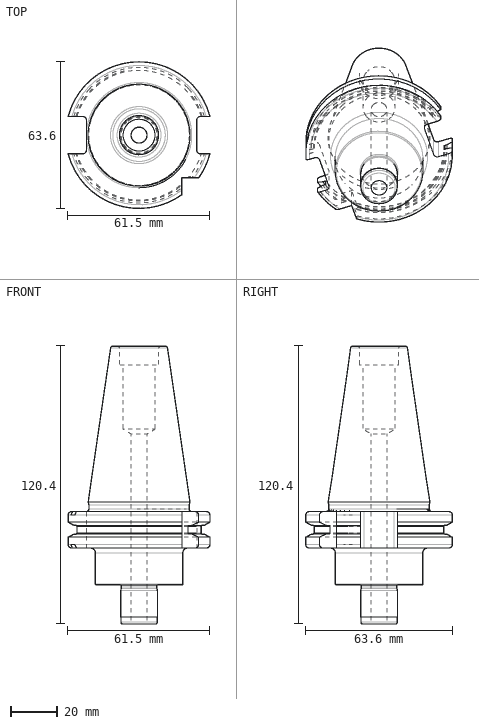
import cadquery as cq
import math


TAPER_LENGTH = 68.4
GAUGE_RADIUS = 44.45 / 2
TAPER_SLOPE = 7 / 48
SHANK_TIP_RADIUS = GAUGE_RADIUS - TAPER_LENGTH * TAPER_SLOPE
SHANK_TIP_ROUND = 1.0
TAPER_END = 0.85
TAPER_END_RADIUS = GAUGE_RADIUS - TAPER_END * TAPER_SLOPE
NECK_RADIUS = 21.8
NECK_TOP = -0.3

FLANGE_RADIUS = 63.55 / 2
FLANGE_TOP = -3.2
FLANGE_BOTTOM = -19.1
FLANGE_ROUND = 1.6
NECK_FILLET = 1.0

GROOVE_CENTRE = -11.1
GROOVE_FLOOR_RADIUS = 56.25 / 2
GROOVE_FLOOR_HALF_WIDTH = 3.75 / 2
GROOVE_FLOOR_FILLET = 0.4
GROOVE_RIM_HALF_WIDTH = 3.25
GROOVE_FLANK_ANGLE = 30

SLOT_WIDTH = 16.1
SLOT_CORNER_RADIUS = 1.6
SLOT_FLOOR_LEFT = 22.8
SLOT_FLOOR_RIGHT = 25.0
NOTCH_OFFSET = 18.5

BODY_RADIUS = 38 / 2
BODY_BOTTOM = -35.0
BODY_FILLET = 2.0
BODY_ROUND = 0.5

PILOT_RADIUS = 16 / 2
PILOT_LENGTH = 17.0
PILOT_BOTTOM = BODY_BOTTOM - PILOT_LENGTH
RELIEF_RADIUS = 15.5 / 2
RELIEF_LENGTH = 2.5
RELIEF_RUNOUT = 1.1
RELIEF_FILLET = 0.5
RELIEF_BLEND = 1.5
LEAD_IN_RADIUS = 15.8 / 2
LEAD_IN_LENGTH = 3.0
PILOT_TIP_ROUND = 0.9

COUNTERBORE_RADIUS = 17 / 2
COUNTERBORE_DEPTH = 8.2
COUNTERBORE_FLOOR_FILLET = 0.4
MOUTH_ROUND = 1.0
TAP_BORE_RADIUS = 13.8 / 2
TAP_BORE_DEPTH = 36.0
DRILL_TIP_ANGLE = 118
SCREW_HOLE_RADIUS = 6.8 / 2

CUT_CLEARANCE = 1.0
MATCH_TOLERANCE = 0.01


class RingSelector(cq.Selector):
    """Picks the circular edges of one radius at one height on the Z axis."""

    def __init__(self, radius, height):
        self.radius = radius
        self.height = height

    def filter(self, edges):
        return [edge for edge in edges if self.matches(edge)]

    def matches(self, edge):
        return (
            edge.geomType() == "CIRCLE"
            and math.isclose(edge.radius(), self.radius, abs_tol=MATCH_TOLERANCE)
            and math.isclose(edge.Center().z, self.height, abs_tol=MATCH_TOLERANCE)
        )


def turned_body():
    """Solid of revolution with the shank, flange blank, body and pilot."""
    relief_end = BODY_BOTTOM - RELIEF_LENGTH
    runout_start = relief_end + RELIEF_RUNOUT
    lead_in_start = PILOT_BOTTOM + LEAD_IN_LENGTH
    profile = (
        cq.Workplane("XZ")
        .moveTo(0, TAPER_LENGTH)
        .lineTo(SHANK_TIP_RADIUS, TAPER_LENGTH)
        .lineTo(TAPER_END_RADIUS, TAPER_END)
        .lineTo(NECK_RADIUS, NECK_TOP)
        .lineTo(NECK_RADIUS, FLANGE_TOP)
        .lineTo(FLANGE_RADIUS, FLANGE_TOP)
        .lineTo(FLANGE_RADIUS, FLANGE_BOTTOM)
        .lineTo(BODY_RADIUS, FLANGE_BOTTOM)
        .lineTo(BODY_RADIUS, BODY_BOTTOM)
        .lineTo(RELIEF_RADIUS, BODY_BOTTOM)
        .lineTo(RELIEF_RADIUS, runout_start)
        .lineTo(PILOT_RADIUS, relief_end)
        .lineTo(PILOT_RADIUS, lead_in_start)
        .lineTo(LEAD_IN_RADIUS, lead_in_start)
        .lineTo(LEAD_IN_RADIUS, PILOT_BOTTOM)
        .lineTo(0, PILOT_BOTTOM)
        .close()
    )
    body = profile.revolve(360, (0, 0, 0), (0, 1, 0))
    body = body.edges(RingSelector(SHANK_TIP_RADIUS, TAPER_LENGTH)).fillet(SHANK_TIP_ROUND)
    body = body.edges(RingSelector(NECK_RADIUS, FLANGE_TOP)).fillet(NECK_FILLET)
    for flange_face in (FLANGE_TOP, FLANGE_BOTTOM):
        body = body.edges(RingSelector(FLANGE_RADIUS, flange_face)).fillet(FLANGE_ROUND)
    body = body.edges(RingSelector(BODY_RADIUS, FLANGE_BOTTOM)).fillet(BODY_FILLET)
    body = body.edges(RingSelector(BODY_RADIUS, BODY_BOTTOM)).fillet(BODY_ROUND)
    body = body.edges(RingSelector(RELIEF_RADIUS, BODY_BOTTOM)).fillet(RELIEF_FILLET)
    body = body.edges(RingSelector(RELIEF_RADIUS, runout_start)).fillet(RELIEF_BLEND)
    return body.edges(RingSelector(LEAD_IN_RADIUS, PILOT_BOTTOM)).fillet(PILOT_TIP_ROUND)


def gripper_groove():
    """Ring cutter for the V groove."""
    flank_height = GROOVE_RIM_HALF_WIDTH - GROOVE_FLOOR_HALF_WIDTH
    step_radius = FLANGE_RADIUS - flank_height / math.tan(math.radians(GROOVE_FLANK_ANGLE))
    floor_top = GROOVE_CENTRE + GROOVE_FLOOR_HALF_WIDTH
    floor_bottom = GROOVE_CENTRE - GROOVE_FLOOR_HALF_WIDTH
    rim_top = GROOVE_CENTRE + GROOVE_RIM_HALF_WIDTH
    rim_bottom = GROOVE_CENTRE - GROOVE_RIM_HALF_WIDTH
    outside = FLANGE_RADIUS + CUT_CLEARANCE
    groove = (
        cq.Workplane("XZ")
        .moveTo(GROOVE_FLOOR_RADIUS, floor_top)
        .lineTo(step_radius, floor_top)
        .lineTo(FLANGE_RADIUS, rim_top)
        .lineTo(outside, rim_top)
        .lineTo(outside, rim_bottom)
        .lineTo(FLANGE_RADIUS, rim_bottom)
        .lineTo(step_radius, floor_bottom)
        .lineTo(GROOVE_FLOOR_RADIUS, floor_bottom)
        .close()
        .revolve(360, (0, 0, 0), (0, 1, 0))
    )
    for floor_edge in (floor_top, floor_bottom):
        groove = groove.edges(RingSelector(GROOVE_FLOOR_RADIUS, floor_edge)).fillet(GROOVE_FLOOR_FILLET)
    return groove


def drive_slot(floor_distance, side):
    """Slot cutter across the flange; side is +1 for +X and -1 for -X."""
    slot = cq.Workplane("XY").box(
        FLANGE_RADIUS, SLOT_WIDTH, FLANGE_TOP - FLANGE_BOTTOM, centered=(False, True, False)
    )
    slot = slot.edges("|Z and <X").fillet(SLOT_CORNER_RADIUS).translate((floor_distance, 0, FLANGE_BOTTOM))
    return slot if side > 0 else slot.mirror("YZ")


def orientation_notch():
    """Square-cornered cutter at the +X, -Y edge of the flange."""
    return (
        cq.Workplane("XY", origin=(NOTCH_OFFSET, -NOTCH_OFFSET - FLANGE_RADIUS, FLANGE_BOTTOM))
        .box(FLANGE_RADIUS, FLANGE_RADIUS, FLANGE_TOP - FLANGE_BOTTOM, centered=False)
    )


def stepped_bore():
    """Cutter for the counterbore, tap bore with drill tip, and screw hole."""
    counterbore_floor = TAPER_LENGTH - COUNTERBORE_DEPTH
    tap_bore_bottom = TAPER_LENGTH - TAP_BORE_DEPTH
    tip_height = (TAP_BORE_RADIUS - SCREW_HOLE_RADIUS) / math.tan(math.radians(DRILL_TIP_ANGLE / 2))
    bore = (
        cq.Workplane("XZ")
        .moveTo(0, TAPER_LENGTH)
        .lineTo(COUNTERBORE_RADIUS, TAPER_LENGTH)
        .lineTo(COUNTERBORE_RADIUS, counterbore_floor)
        .lineTo(TAP_BORE_RADIUS, counterbore_floor)
        .lineTo(TAP_BORE_RADIUS, tap_bore_bottom)
        .lineTo(SCREW_HOLE_RADIUS, tap_bore_bottom - tip_height)
        .lineTo(SCREW_HOLE_RADIUS, PILOT_BOTTOM)
        .lineTo(0, PILOT_BOTTOM)
        .close()
        .revolve(360, (0, 0, 0), (0, 1, 0))
    )
    return bore.edges(RingSelector(COUNTERBORE_RADIUS, counterbore_floor)).fillet(COUNTERBORE_FLOOR_FILLET)


result = (
    turned_body()
    .cut(gripper_groove())
    .cut(drive_slot(SLOT_FLOOR_LEFT, -1))
    .cut(drive_slot(SLOT_FLOOR_RIGHT, 1))
    .cut(orientation_notch())
    .cut(stepped_bore())
    .edges(RingSelector(COUNTERBORE_RADIUS, TAPER_LENGTH))
    .fillet(MOUTH_ROUND)
)